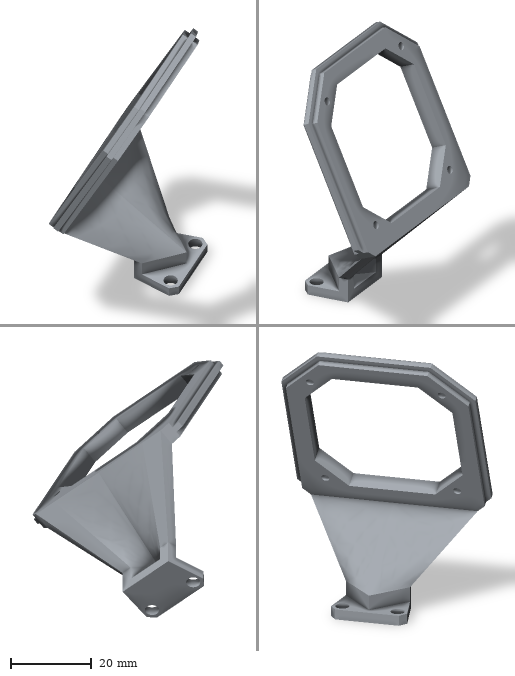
import cadquery as cq
import math

tilt = 25.0
frame_side = 47.0
layer = 1.5
thickness = 3 * layer
rim_width = 50.0
rim = (rim_width - frame_side) / 2
top_chamfer = 9.5
bottom_chamfer = 2.0
rim_top_chamfer = top_chamfer + rim * (2 - math.sqrt(2))
window_side = 38.0
window_chamfer = 7.9
screw_spacing = 33.95
screw_diameter = 2.0
total_height = 67.6

foot_front = 16.85
foot_back = 29.35
foot_thickness = 2.65
foot_front_half = 7.85
foot_wide_half = 9.8
foot_back_half = 8.2
foot_wide_x = 27.4
bolt_x = 26.6
bolt_spacing = 14.2
bolt_diameter = 3.5

wedge_top = 6.5
wedge_shoulder_x = 19.2
wedge_tip_x = 27.6
pocket_half = 5.1
pocket_tip_x = foot_front + pocket_half
neck_pocket_half = 15.15
neck_pocket_depth = 0.1

flare = (foot_wide_half - foot_front_half) / (foot_wide_x - foot_front)
wedge_shoulder_half = foot_front_half + flare * (wedge_shoulder_x - foot_front)

lean = math.radians(tilt)
frame_bottom_z = (
    total_height
    - (frame_side + rim) * math.cos(lean)
    + layer * math.sin(lean)
)

frame_plane = cq.Plane(
    origin=(0, 0, frame_bottom_z),
    xDir=(0, 1, 0),
    normal=(math.cos(lean), 0, -math.sin(lean)),
)


def octagon(depth, half, bottom, top, low_cut, high_cut):
    """Sketch a rectangle with 45 degree corners on the frame plane at a depth."""
    right_side = [
        (half - low_cut, bottom),
        (half, bottom + low_cut),
        (half, top - high_cut),
        (half - high_cut, top),
    ]
    left_side = [(-x, y) for x, y in reversed(right_side)]
    return cq.Workplane(frame_plane).workplane(offset=depth).polyline(right_side + left_side).close()


def make_frame():
    plate = octagon(0, frame_side / 2, 0, frame_side, bottom_chamfer, top_chamfer).extrude(thickness)
    rim_layer = octagon(
        layer, rim_width / 2, 0, frame_side + rim, bottom_chamfer + rim, rim_top_chamfer
    ).extrude(layer)
    margin = (frame_side - window_side) / 2
    window = octagon(
        0, window_side / 2, margin, frame_side - margin, window_chamfer, window_chamfer
    ).extrude(thickness)
    screws = (
        cq.Workplane(frame_plane)
        .center(0, frame_side / 2)
        .rect(screw_spacing, screw_spacing, forConstruction=True)
        .vertices()
        .circle(screw_diameter / 2)
        .extrude(thickness)
    )
    return plate.union(rim_layer).cut(window).cut(screws)


def make_foot():
    outline = [
        (foot_front, -foot_front_half),
        (foot_wide_x, -foot_wide_half),
        (foot_back, -foot_back_half),
        (foot_back, foot_back_half),
        (foot_wide_x, foot_wide_half),
        (foot_front, foot_front_half),
    ]
    bolts = (
        cq.Workplane("XY")
        .pushPoints([(bolt_x, -bolt_spacing / 2), (bolt_x, bolt_spacing / 2)])
        .circle(bolt_diameter / 2)
        .extrude(foot_thickness)
    )
    return cq.Workplane("XY").polyline(outline).close().extrude(foot_thickness).cut(bolts)


def column(upper, lower):
    """Prism between foot and wedge top, plus the ruled neck up to the frame.

    upper: (across, depth) points on the frame's bottom face; lower: (x, y) points.
    """
    upper_points = [frame_plane.toWorldCoords((across, 0, depth)) for across, depth in upper]
    lower_points = [cq.Vector(x, y, wedge_top) for x, y in lower]
    wires = [cq.Wire.makePolygon(points, close=True) for points in (lower_points, upper_points)]
    neck = cq.Workplane(cq.Solid.makeLoft(wires, True))
    prism = (
        cq.Workplane("XY", origin=(0, 0, foot_thickness))
        .polyline(lower)
        .close()
        .extrude(wedge_top - foot_thickness)
    )
    return prism.union(neck)


def make_hollow_wedge():
    neck_half = frame_side / 2 - bottom_chamfer
    outside = column(
        [(-neck_half, 0), (-neck_half, thickness), (0, thickness), (neck_half, thickness), (neck_half, 0)],
        [
            (foot_front, -foot_front_half),
            (wedge_shoulder_x, -wedge_shoulder_half),
            (wedge_tip_x, 0),
            (wedge_shoulder_x, wedge_shoulder_half),
            (foot_front, foot_front_half),
        ],
    )
    pocket = column(
        [(-neck_pocket_half, 0), (0, neck_pocket_depth), (neck_pocket_half, 0)],
        [(foot_front, -pocket_half), (pocket_tip_x, 0), (foot_front, pocket_half)],
    )
    return outside.cut(pocket)


result = make_frame().union(make_foot()).union(make_hollow_wedge())